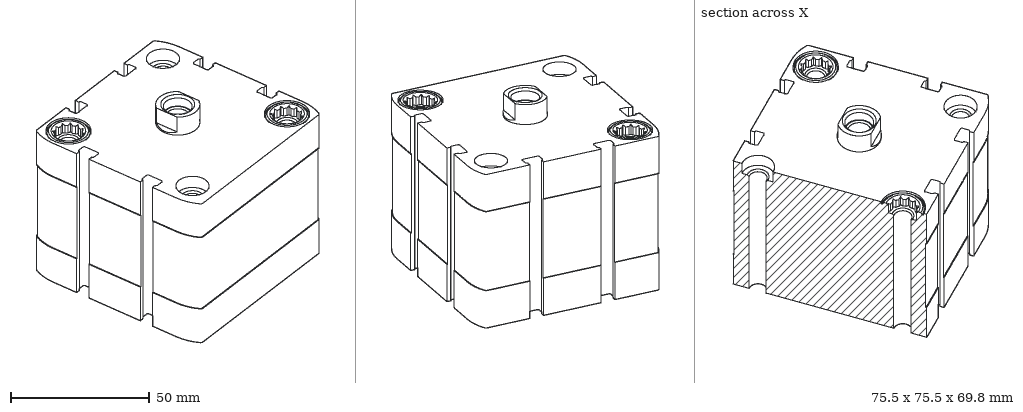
import cadquery as cq
import math


WIDTH = 75.5
HALF_WIDTH = WIDTH / 2
HEIGHT = 61.8
CAP_HEIGHT = 15.0
BARREL_INSET = 0.3
BOLT_OFFSET = 28.2
CORNER_RADIUS = 18.7
EDGE_RADIUS = 1.1

SLOT_OFFSET = 14.5
SLOT_OPENING = 5.6
SLOT_LIP = 1.65
SLOT_WIDTH = 6.95
SLOT_DEPTH = 5.3
SLOT_FILLET = 0.6

BOLT_HOLE = 6.65
BOLT_COUNTERSINK = 8.0
COUNTERBORE = 12.0
COUNTERBORE_DEPTH = 5.0

GROOVE_OUTER = 16.4
GROOVE_INNER = 15.5
SLEEVE_FACE = 14.5
GROOVE_DEPTH = 1.0
SOCKET_DEPTH = 4.5
SOCKET_RIM = 12.5
SOCKET_TIPS = 11.55
SOCKET_CORE = 10.2
SOCKET_SQUARES = 3

ROD_DIAMETER = 16.0
ROD_PROTRUSION = 8.0
ROD_LENGTH = ROD_PROTRUSION + CAP_HEIGHT
ROD_TOP = HEIGHT + ROD_PROTRUSION
ROD_FLATS = 13.0
FLAT_BOTTOM = HEIGHT + 1.4
FLAT_RUNOUT_ANGLE = 30.0
THREAD_CHAMFER = 12.3
THREAD_RELIEF = 10.5
THREAD_RELIEF_DEPTH = 4.5
THREAD_COUNTERSINK = 10.0
THREAD_BORE = 8.4
THREAD_BORE_DEPTH = 15.1
DRILL_ANGLE = 120.0


def rounded_square(inset):
    """Square with shallow corner arcs, each blended into an X side by a round, all moved in by inset."""
    half = HALF_WIDTH - inset
    corner = CORNER_RADIUS - inset
    edge = EDGE_RADIUS - inset
    arc_y = half - corner
    edge_x = half - edge
    edge_y = arc_y + math.sqrt((corner - edge) ** 2 - (edge_x - BOLT_OFFSET) ** 2)
    blend = corner / (corner - edge)
    join_x = BOLT_OFFSET + (edge_x - BOLT_OFFSET) * blend
    join_y = arc_y + (edge_y - arc_y) * blend
    return (
        cq.Workplane("XY")
        .moveTo(-BOLT_OFFSET, -half)
        .lineTo(BOLT_OFFSET, -half)
        .tangentArcPoint((join_x, -join_y), relative=False)
        .tangentArcPoint((half, -edge_y), relative=False)
        .lineTo(half, edge_y)
        .tangentArcPoint((join_x, join_y), relative=False)
        .tangentArcPoint((BOLT_OFFSET, half), relative=False)
        .lineTo(-BOLT_OFFSET, half)
        .tangentArcPoint((-join_x, join_y), relative=False)
        .tangentArcPoint((-half, edge_y), relative=False)
        .lineTo(-half, -edge_y)
        .tangentArcPoint((-join_x, -join_y), relative=False)
        .tangentArcPoint((-BOLT_OFFSET, -half), relative=False)
        .close()
    )


def revolved(profile):
    """Solid of revolution about Z from (radius, z) points."""
    return cq.Workplane("XZ").polyline(profile).close().revolve(360, (0, 0), (0, 1))


def t_slot():
    """Full-height T-slot cutter that opens towards -Y at the middle of that side."""
    pocket_depth = SLOT_DEPTH - SLOT_LIP
    opening = (
        cq.Workplane("XY")
        .center(0, -HALF_WIDTH + SLOT_DEPTH / 2)
        .rect(SLOT_OPENING, SLOT_DEPTH)
        .extrude(HEIGHT)
    )
    pocket = (
        cq.Workplane("XY")
        .center(0, -HALF_WIDTH + SLOT_LIP + pocket_depth / 2)
        .rect(SLOT_WIDTH, pocket_depth)
        .extrude(HEIGHT)
        .edges("|Z")
        .fillet(SLOT_FILLET)
    )
    return opening.union(pocket)


def bolt_passage(seat_depth):
    """Through hole with a 45 degree countersink at the bolt seat."""
    seat = HEIGHT - seat_depth
    hole = BOLT_HOLE / 2
    sink = BOLT_COUNTERSINK / 2
    return revolved([(0, 0), (hole, 0), (hole, seat - (sink - hole)), (sink, seat), (0, seat)])


def plain_hole():
    """Counterbore above a bolt passage."""
    counterbore = (
        cq.Workplane("XY")
        .workplane(offset=HEIGHT - COUNTERBORE_DEPTH)
        .circle(COUNTERBORE / 2)
        .extrude(COUNTERBORE_DEPTH)
    )
    return bolt_passage(COUNTERBORE_DEPTH).union(counterbore)


def twelve_point_socket():
    """Three crossed squares and a round core from the bolt seat up, with a 45 degree rim cone."""
    seat = cq.Workplane("XY").workplane(offset=HEIGHT - SOCKET_DEPTH)
    side = SOCKET_TIPS / math.sqrt(2)
    square = seat.rect(side, side).extrude(SOCKET_DEPTH)
    socket = seat.circle(SOCKET_CORE / 2).extrude(SOCKET_DEPTH)
    for index in range(SOCKET_SQUARES):
        turn = 45 + index * 90 / SOCKET_SQUARES
        socket = socket.union(square.rotate((0, 0, 0), (0, 0, 1), turn))
    rim = SOCKET_RIM / 2
    return socket.union(revolved([(0, HEIGHT), (rim, HEIGHT), (0, HEIGHT - rim)]))


def sleeve_groove():
    """Narrow ring groove around a sleeve that tapers towards its face."""
    face = SLEEVE_FACE / 2
    inner = GROOVE_INNER / 2
    outer = GROOVE_OUTER / 2
    floor = HEIGHT - GROOVE_DEPTH
    return revolved([(face, HEIGHT), (inner, floor), (outer, floor), (outer, HEIGHT)])


def rod_blank():
    """Plain cylinder of the rod, also the shape of its bore in the housing."""
    return (
        cq.Workplane("XY")
        .workplane(offset=ROD_TOP - ROD_LENGTH)
        .circle(ROD_DIAMETER / 2)
        .extrude(ROD_LENGTH)
    )


def make_housing():
    barrel_height = HEIGHT - 2 * CAP_HEIGHT
    lower_cap = rounded_square(0).extrude(CAP_HEIGHT)
    barrel = rounded_square(BARREL_INSET).extrude(barrel_height).translate((0, 0, CAP_HEIGHT))
    upper_cap = lower_cap.translate((0, 0, CAP_HEIGHT + barrel_height))
    housing = lower_cap.union(barrel).union(upper_cap)

    for side_angle in (0, -90, 180):
        for offset in (-SLOT_OFFSET, SLOT_OFFSET):
            slot = t_slot().translate((offset, 0, 0)).rotate((0, 0, 0), (0, 0, 1), side_angle)
            housing = housing.cut(slot)

    for side in (-1, 1):
        sleeve_place = (side * BOLT_OFFSET, side * BOLT_OFFSET, 0)
        for cutter in (bolt_passage(SOCKET_DEPTH), twelve_point_socket(), sleeve_groove()):
            housing = housing.cut(cutter.translate(sleeve_place))
        housing = housing.cut(plain_hole().translate((side * BOLT_OFFSET, -side * BOLT_OFFSET, 0)))

    return housing.cut(rod_blank())


def wrench_flat():
    """Cutter for the flat on the +Y side of the rod, with a sloped run-out below it."""
    flat_y = ROD_FLATS / 2
    rod_y = ROD_DIAMETER / 2
    runout = (rod_y - flat_y) * math.tan(math.radians(FLAT_RUNOUT_ANGLE))
    return (
        cq.Workplane("YZ")
        .moveTo(flat_y, ROD_TOP)
        .lineTo(flat_y, FLAT_BOTTOM)
        .lineTo(rod_y, FLAT_BOTTOM - runout)
        .lineTo(rod_y, ROD_TOP)
        .close()
        .extrude(ROD_DIAMETER / 2, both=True)
    )


def thread_hole():
    """Blind hole in the rod end: chamfer, wide relief, countersink, bore and drill point."""
    chamfer = THREAD_CHAMFER / 2
    relief = THREAD_RELIEF / 2
    sink = THREAD_COUNTERSINK / 2
    bore = THREAD_BORE / 2
    slope = 1 / math.tan(math.radians(DRILL_ANGLE / 2))
    relief_end = ROD_TOP - THREAD_RELIEF_DEPTH
    bore_end = ROD_TOP - THREAD_BORE_DEPTH
    return revolved([
        (0, ROD_TOP),
        (chamfer, ROD_TOP),
        (relief, ROD_TOP - (chamfer - relief)),
        (relief, relief_end),
        (sink, relief_end),
        (bore, relief_end - (sink - bore) * slope),
        (bore, bore_end),
        (0, bore_end - bore * slope),
    ])


def make_rod():
    rod = rod_blank()
    for turn in (0, 180):
        rod = rod.cut(wrench_flat().rotate((0, 0, 0), (0, 0, 1), turn))
    return rod.cut(thread_hole())


housing = make_housing()
rod = make_rod()
result = cq.Compound.makeCompound([housing.val(), rod.val()])